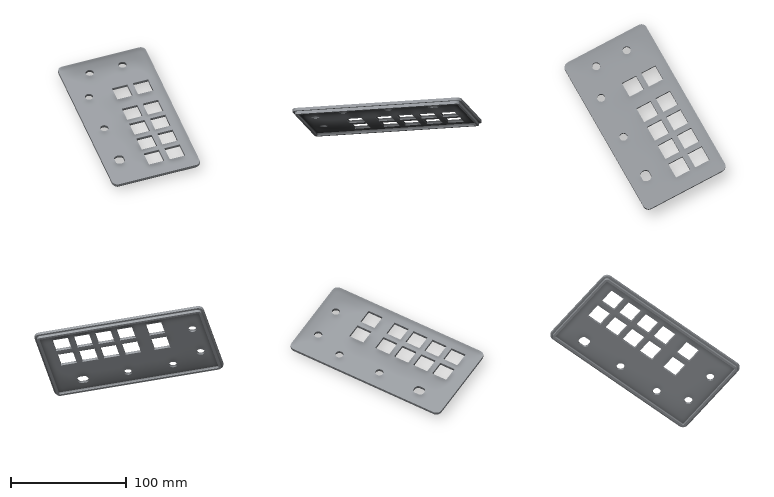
import cadquery as cq

plate_length = 150.0
plate_width = 80.0
plate_thickness = 2.5
corner_radius = 5.0

total_height = 5.0
rim_inset = 2.0
rim_wall = 2.0
rim_height = total_height - plate_thickness

key_size = 14.0
key_pitch = 19.0
key_rows = 2
block_columns = 4
separate_column_x = -29.0
block_first_x = -3.0
lower_row_y = 4.0

control_diameter = 7.0
left_pair_x = -60.0
left_pair_spacing = 30.0
front_row_y = -25.0
front_row_first_x = -33.0
front_row_pitch = 40.0
front_row_controls = 2

connector_diameter = 10.0
connector_across_flats = 8.3


def rounded_block(inset, height):
    """Block parallel to the plate outline, standing on Z = 0."""
    return (
        cq.Workplane("XY")
        .rect(plate_length - 2 * inset, plate_width - 2 * inset)
        .extrude(height)
        .edges("|Z")
        .fillet(corner_radius - inset)
    )


def make_body():
    """Cover plate joined to the hollow rim below it."""
    plate = rounded_block(0, plate_thickness).translate((0, 0, rim_height))
    rim = rounded_block(rim_inset, rim_height)
    hollow = rounded_block(rim_inset + rim_wall, rim_height)
    return plate.union(rim.cut(hollow))


def key_openings():
    """Square cutters for every key."""
    column_xs = [separate_column_x]
    column_xs += [block_first_x + i * key_pitch for i in range(block_columns)]
    row_ys = [lower_row_y + j * key_pitch for j in range(key_rows)]
    centers = [(x, y) for x in column_xs for y in row_ys]
    return (
        cq.Workplane("XY")
        .pushPoints(centers)
        .rect(key_size, key_size)
        .extrude(total_height)
    )


def control_holes():
    """Round cutters for the left pair and the front-row controls."""
    left_pair = [(left_pair_x, side * left_pair_spacing / 2) for side in (-1, 1)]
    front_row = [
        (front_row_first_x + i * front_row_pitch, front_row_y)
        for i in range(front_row_controls)
    ]
    return (
        cq.Workplane("XY")
        .pushPoints(left_pair + front_row)
        .circle(control_diameter / 2)
        .extrude(total_height)
    )


def connector_hole():
    """Round cutter with flats facing front and back."""
    center_x = front_row_first_x + front_row_controls * front_row_pitch
    cylinder = cq.Workplane("XY").circle(connector_diameter / 2).extrude(total_height)
    flats = (
        cq.Workplane("XY")
        .rect(connector_diameter, connector_across_flats)
        .extrude(total_height)
    )
    return cylinder.intersect(flats).translate((center_x, front_row_y, 0))


result = make_body().cut(key_openings()).cut(control_holes()).cut(connector_hole())